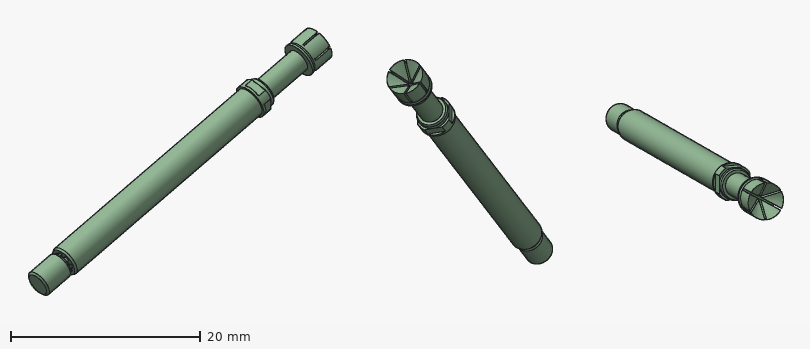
import cadquery as cq

total_length = 43.1
head_end = total_length / 2
largest_diameter = 4.0

head_length = 2.15
dish_depth = 2.0
head_groove_position = 2.5
head_groove_diameter = 3.8
lip_start = 2.75
lip_end = 3.0
shaft_diameter = 2.6

slot_width = 0.2
slot_length = 2.25
slot_directions = 3

barrel_start = 8.5
barrel_end = 39.15
barrel_diameter = 3.5
barrel_end_face_diameter = 3.25
barrel_start_chamfer = 0.2
barrel_end_chamfer = 0.25

flats_start = 9.15
flats_end = 10.17
flange_end = 10.47

neck_diameter = 2.6
neck_end = 39.4
flute_count = 8
flute_width = 0.45
flute_depth = 0.45
tip_start = 39.7
tip_diameter = 3.05
tip_end_face_diameter = 2.55
tip_chamfer = 0.17


def turned(profile):
    """Revolve (distance from the rim, diameter) points about the Y axis."""
    points = [(diameter / 2, head_end - distance) for distance, diameter in profile]
    return cq.Workplane("XY").polyline(points).close().revolve(360, (0, 0, 0), (0, 1, 0))


def block(width, height, start, end):
    """Box centred on the axis between two distances from the rim."""
    box = cq.Workplane("XY").box(width, end - start, height)
    return box.translate((0, head_end - (start + end) / 2, 0))


def turned_about_axis(shape, angle):
    return shape.rotate((0, 0, 0), (0, 1, 0), angle)


def make_plunger():
    plunger = turned([
        (dish_depth, 0),
        (0, largest_diameter),
        (head_length, largest_diameter),
        (head_groove_position, head_groove_diameter),
        (lip_start, largest_diameter),
        (lip_end, largest_diameter),
        (lip_end, shaft_diameter),
        (barrel_start, shaft_diameter),
        (barrel_start, 0),
    ])
    slot = block(slot_width, largest_diameter, 0, slot_length)
    for i in range(slot_directions):
        plunger = plunger.cut(turned_about_axis(slot, i * 180 / slot_directions))
    return plunger


def make_flange():
    flange = turned([
        (flats_start, 0),
        (flats_start, largest_diameter),
        (flange_end, largest_diameter),
        (flange_end, 0),
    ])
    around = block(largest_diameter, largest_diameter, flats_start, flats_end)
    kept_square = block(barrel_diameter, barrel_diameter, flats_start, flats_end)
    return flange.cut(around.cut(kept_square))


def make_barrel_and_tip():
    body = turned([
        (barrel_start, 0),
        (barrel_start, barrel_end_face_diameter),
        (barrel_start + barrel_start_chamfer, barrel_diameter),
        (barrel_end - barrel_end_chamfer, barrel_diameter),
        (barrel_end, barrel_end_face_diameter),
        (barrel_end, neck_diameter),
        (neck_end, neck_diameter),
        (tip_start, tip_diameter),
        (total_length - tip_chamfer, tip_diameter),
        (total_length, tip_end_face_diameter),
        (total_length, 0),
    ])
    flute = block(flute_width, 2 * flute_depth, barrel_end, neck_end).translate((0, 0, neck_diameter / 2))
    for i in range(flute_count):
        body = body.cut(turned_about_axis(flute, i * 360 / flute_count))
    return body


result = make_plunger().union(make_barrel_and_tip()).union(make_flange())